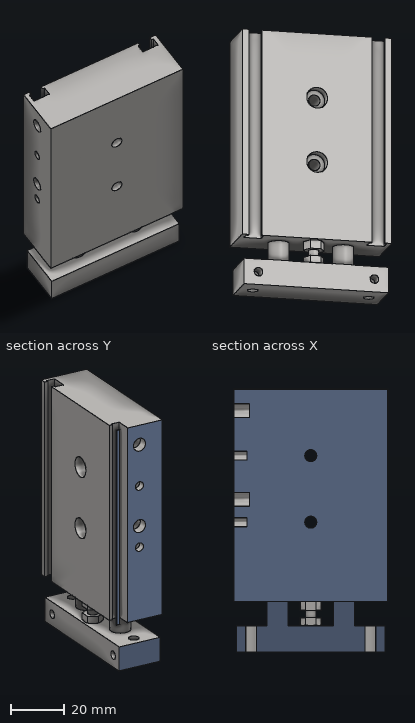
import cadquery as cq
import math

TOTAL_HEIGHT = 99.0
HOUSING_DEPTH = 20.0
HOUSING_WIDTH = 58.0
HOUSING_HEIGHT = 80.0
HOUSING_BOTTOM = TOTAL_HEIGHT - HOUSING_HEIGHT
HOUSING_FRONT = -HOUSING_DEPTH / 2
HOUSING_SIDE = -HOUSING_WIDTH / 2

SLOT_EDGE_DISTANCE = 5.1
SLOT_MOUTH_WIDTH = 5.0
SLOT_INNER_WIDTH = 6.6
SLOT_LIP = 1.4
SLOT_DEPTH = 4.8
SLOT_Y = HOUSING_WIDTH / 2 - SLOT_EDGE_DISTANCE

MOUNT_SPACING = 25.0
MOUNT_LOWER_Z = 48.9
MOUNT_LEVELS = (MOUNT_LOWER_Z, MOUNT_LOWER_Z + MOUNT_SPACING)
MOUNT_DIAMETER = 4.4
COUNTERBORE_DIAMETER = 8.0
COUNTERBORE_DEPTH = 4.4

PORT_DIAMETER = 5.0
PORT_DEPTH = 5.9
PORT_LEVELS = (57.5, 90.9)
SIDE_THREAD_DIAMETER = 3.3
SIDE_THREAD_DEPTH = 4.95

PLATE_DEPTH = 18.0
PLATE_WIDTH = 56.0
PLATE_HEIGHT = 10.0
PLATE_FRONT = -PLATE_DEPTH / 2
PLATE_VERTICAL_HOLE_DIAMETER = 4.0
PLATE_FRONT_HOLE_DIAMETER = 3.3
PLATE_FRONT_HOLE_DEPTH = 5.9
PLATE_HOLE_Y = 22.5
ROD_DIAMETER = 8.0
ROD_SPACING = 25.0
GAP = HOUSING_BOTTOM - PLATE_HEIGHT

BOLT_X = -4.6
HEX_ACROSS_FLATS = 6.9
HEX_ACROSS_CORNERS = HEX_ACROSS_FLATS / math.cos(math.pi / 6)
BOLT_HEAD_HEIGHT = 3.3
BOLT_NUT_HEIGHT = 3.0
BOLT_SHANK_DIAMETER = 4.0
NUT_CHAMFER_ANGLE = 30
NUT_CHAMFER_INSET = (HEX_ACROSS_CORNERS - HEX_ACROSS_FLATS) / 2
NUT_CHAMFER_HEIGHT = NUT_CHAMFER_INSET * math.tan(math.radians(NUT_CHAMFER_ANGLE))


def rod_along_x(diameter, x_start, length, y, z):
    """Cylinder running in +X from x_start."""
    return cq.Workplane("YZ", origin=(x_start, y, z)).circle(diameter / 2).extrude(length)


def rod_along_y(diameter, y_start, length, z):
    """Cylinder on the X = 0 plane running in +Y from y_start."""
    return cq.Workplane("XZ", origin=(0, y_start, z)).circle(diameter / 2).extrude(-length)


def rod_along_z(diameter, x, y, z_start, length):
    """Cylinder running in +Z from z_start."""
    return cq.Workplane("XY", origin=(x, y, z_start)).circle(diameter / 2).extrude(length)


def make_t_slot(y):
    """Cutter for one full-height T-slot, open to the front face."""
    mouth = cq.Workplane("XY", origin=(HOUSING_FRONT, y, HOUSING_BOTTOM)).box(
        SLOT_DEPTH, SLOT_MOUTH_WIDTH, HOUSING_HEIGHT, centered=(False, True, False)
    )
    inner = cq.Workplane("XY", origin=(HOUSING_FRONT + SLOT_LIP, y, HOUSING_BOTTOM)).box(
        SLOT_DEPTH - SLOT_LIP, SLOT_INNER_WIDTH, HOUSING_HEIGHT, centered=(False, True, False)
    )
    return mouth.union(inner)


def make_housing():
    """Block with two T-slots, counterbored mounting holes and side holes."""
    body = cq.Workplane("XY", origin=(0, 0, HOUSING_BOTTOM)).box(
        HOUSING_DEPTH, HOUSING_WIDTH, HOUSING_HEIGHT, centered=(True, True, False)
    )
    for y in (-SLOT_Y, SLOT_Y):
        body = body.cut(make_t_slot(y))
    for z in MOUNT_LEVELS:
        body = body.cut(rod_along_x(MOUNT_DIAMETER, HOUSING_FRONT, HOUSING_DEPTH, 0, z))
        body = body.cut(rod_along_x(COUNTERBORE_DIAMETER, HOUSING_FRONT, COUNTERBORE_DEPTH, 0, z))
        body = body.cut(rod_along_y(SIDE_THREAD_DIAMETER, HOUSING_SIDE, SIDE_THREAD_DEPTH, z))
    for z in PORT_LEVELS:
        body = body.cut(rod_along_y(PORT_DIAMETER, HOUSING_SIDE, PORT_DEPTH, z))
    return body


def make_end_plate():
    """Plate carrying two guide rods that end against the housing."""
    plate = cq.Workplane("XY").box(PLATE_DEPTH, PLATE_WIDTH, PLATE_HEIGHT, centered=(True, True, False))
    for side in (-1, 1):
        plate = plate.union(rod_along_z(ROD_DIAMETER, 0, side * ROD_SPACING / 2, PLATE_HEIGHT, GAP))
        plate = plate.cut(
            rod_along_z(PLATE_VERTICAL_HOLE_DIAMETER, 0, side * PLATE_HOLE_Y, 0, PLATE_HEIGHT)
        )
        plate = plate.cut(
            rod_along_x(
                PLATE_FRONT_HOLE_DIAMETER,
                PLATE_FRONT,
                PLATE_FRONT_HOLE_DEPTH,
                side * PLATE_HOLE_Y,
                PLATE_HEIGHT / 2,
            )
        )
    return plate


def make_hexagon(z_start, height):
    """Hexagonal prism on the bolt axis with corners pointing along Y."""
    return (
        cq.Workplane("XY", origin=(BOLT_X, 0, z_start))
        .transformed(rotate=(0, 0, 90))
        .polygon(6, HEX_ACROSS_CORNERS)
        .extrude(height)
    )


def make_nut():
    """Hexagonal nut on the plate, its lower corners trimmed by a cone."""
    round_blank = rod_along_z(HEX_ACROSS_CORNERS, BOLT_X, 0, PLATE_HEIGHT, BOLT_NUT_HEIGHT)
    trimmed_blank = round_blank.faces("<Z").chamfer(NUT_CHAMFER_HEIGHT, NUT_CHAMFER_INSET)
    return make_hexagon(PLATE_HEIGHT, BOLT_NUT_HEIGHT).intersect(trimmed_blank)


def make_stop_bolt():
    """Nut on the plate, shank, and hexagonal head against the housing."""
    nut = make_nut()
    shank = rod_along_z(BOLT_SHANK_DIAMETER, BOLT_X, 0, PLATE_HEIGHT, GAP)
    head = make_hexagon(HOUSING_BOTTOM - BOLT_HEAD_HEIGHT, BOLT_HEAD_HEIGHT)
    return nut.union(shank).union(head)


housing = make_housing()
end_plate = make_end_plate()
stop_bolt = make_stop_bolt()

result = cq.Compound.makeCompound([housing.val(), end_plate.val(), stop_bolt.val()])